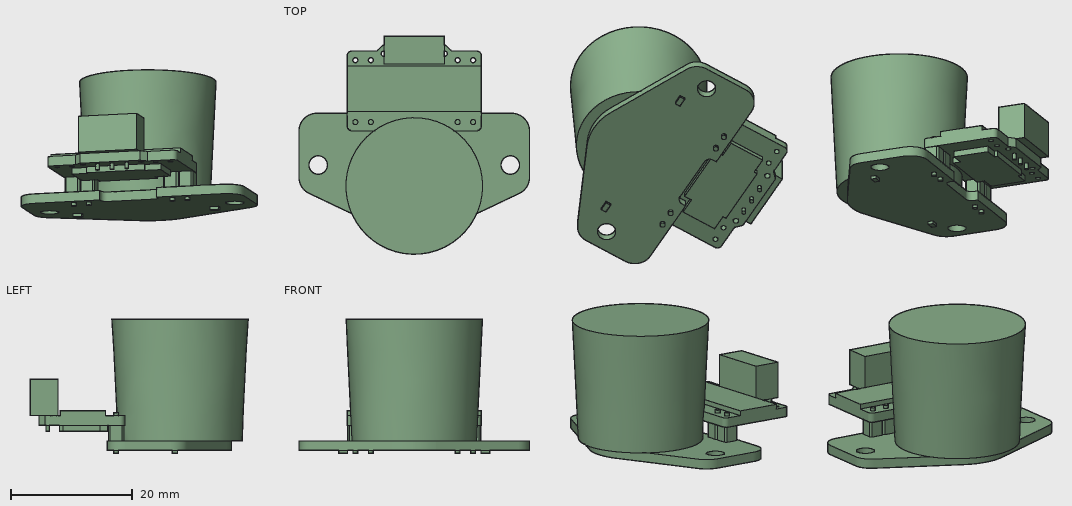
import cadquery as cq


plate_length = 37.97
plate_thick = 1.6
plate_back_y = 12.0
plate_shoulder_y = -0.4
plate_tip_y = -8.5
plate_tip_width = 3.95
plate_corner_radius = 3.0
plate_tip_radius = 8.0
mount_hole_dia = 3.0
mount_hole_x = 15.8
mount_hole_y = 3.45
notch_width = 9.72
notch_floor_y = 10.33
notch_corner_radius = 1.0
foot_length = 1.5
foot_width = 0.9
foot_x = 11.7
foot_y = 0.85

drum_height = 20.0
drum_base_radius = 10.25
drum_top_radius = 11.25

pin_pitch = 2.55
pin_dia = 0.85
pin_stick_out = 0.5
header_chamfer = 0.3
header_height = 2.55
inner_pin_x = 7.15
outer_pin_x = inner_pin_x + pin_pitch
header_y = 10.5
header_pin_points = [
    (side * x, header_y) for side in (-1, 1) for x in (inner_pin_x, outer_pin_x)
]

board_width = 22.1
board_thick = 1.6
board_front_y = 9.07
board_back_y = 22.2
board_corner_radius = 0.8
tab_back_y = 23.2
tab_base_width = 12.3
tab_end_width = 10.25
raised_front_y = 12.23
raised_back_y = 19.7
raised_height = 0.8
open_hole_dia = 0.8
open_hole_y = header_y + 4 * pin_pitch
tab_hole_dia = 0.87
tab_hole_x = 4.97
under_height = 1.0
under_long_width = 9.87
under_long_front_y = 11.85
under_long_back_y = 19.82
under_wide_width = 15.2
under_wide_front_y = 13.18
under_wide_back_y = 19.25

connector_length = 9.95
connector_height = 6.0
connector_front_y = 20.05
connector_back_y = 24.65
connector_pin_dia = 0.65
connector_pin_y = 21.75
connector_pin_below_board = 1.0
connector_pin_pitch = tab_hole_x / 2
connector_pin_points = [(i * connector_pin_pitch, connector_pin_y) for i in (-1, 0, 1)]

board_z = plate_thick + header_height
board_top_z = board_z + board_thick


def block(width, front_y, back_y, bottom_z, height):
    """Box that is symmetric about the YZ plane and lies between two Y positions."""
    box = cq.Workplane("XY").box(width, back_y - front_y, height, centered=(True, False, False))
    return box.translate((0, front_y, bottom_z))


def rods(points, diameter, bottom_z, top_z):
    """Upright cylinders, used both as pins and as the tools that cut their holes."""
    base = cq.Workplane("XY").workplane(offset=bottom_z)
    return base.pushPoints(points).circle(diameter / 2).extrude(top_z - bottom_z)


def make_plate():
    half_length = plate_length / 2
    half_tip = plate_tip_width / 2
    outline = [
        (-half_length, plate_back_y),
        (half_length, plate_back_y),
        (half_length, plate_shoulder_y),
        (half_tip, plate_tip_y),
        (-half_tip, plate_tip_y),
        (-half_length, plate_shoulder_y),
    ]
    plate = cq.Workplane("XY").polyline(outline).close().extrude(plate_thick)
    plate = plate.edges("|Z and (<X or >X)").fillet(plate_corner_radius)
    plate = plate.edges("|Z and <Y").fillet(plate_tip_radius)
    mount_points = [(-mount_hole_x, mount_hole_y), (mount_hole_x, mount_hole_y)]
    plate = plate.cut(rods(mount_points, mount_hole_dia, 0, plate_thick))
    plate = plate.cut(rods(header_pin_points, pin_dia, 0, plate_thick))

    notch = block(notch_width, notch_floor_y, plate_back_y, 0, plate_thick)
    plate = plate.cut(notch.edges("|Z and <Y").fillet(notch_corner_radius))

    feet = (
        cq.Workplane("XY")
        .pushPoints([(-foot_x, foot_y), (foot_x, foot_y)])
        .rect(foot_length, foot_width)
        .extrude(-pin_stick_out)
    )
    return plate.union(feet)


def make_drum(board):
    """Flared drum with a slot that takes the front edge of the board."""
    profile = [
        (0, plate_thick),
        (drum_base_radius, plate_thick),
        (drum_top_radius, plate_thick + drum_height),
        (0, plate_thick + drum_height),
    ]
    drum = cq.Workplane("XZ").polyline(profile).close().revolve(360, (0, 0), (0, 1))
    return drum.cut(board)


def make_header(side):
    """Two-pin header: two joined housings with chamfered corners, each around a pin."""
    points = [(side * inner_pin_x, header_y), (side * outer_pin_x, header_y)]
    header = rods(points, pin_dia, -pin_stick_out, board_top_z + pin_stick_out)
    for x, y in points:
        housing = (
            cq.Workplane("XY")
            .box(pin_pitch, pin_pitch, header_height, centered=(True, True, False))
            .edges("|Z")
            .chamfer(header_chamfer)
        )
        header = header.union(housing.translate((x, y, plate_thick)))
    return header


def make_board():
    board = block(board_width, board_front_y, board_back_y, board_z, board_thick)
    board = board.edges("|Z").fillet(board_corner_radius)

    tab_outline = [
        (-tab_base_width / 2, board_back_y),
        (-tab_end_width / 2, tab_back_y),
        (tab_end_width / 2, tab_back_y),
        (tab_base_width / 2, board_back_y),
    ]
    tab = cq.Workplane("XY").polyline(tab_outline).close().extrude(board_thick)
    board = board.union(tab.translate((0, 0, board_z)))

    board = board.union(block(board_width, raised_front_y, raised_back_y, board_top_z, raised_height))
    for width, front_y, back_y in (
        (under_long_width, under_long_front_y, under_long_back_y),
        (under_wide_width, under_wide_front_y, under_wide_back_y),
    ):
        board = board.union(block(width, front_y, back_y, board_z - under_height, under_height))

    open_points = [(x, open_hole_y) for x, _ in header_pin_points]
    tab_points = [(-tab_hole_x, connector_pin_y), (tab_hole_x, connector_pin_y)]
    for points, diameter in (
        (header_pin_points, pin_dia),
        (connector_pin_points, connector_pin_dia),
        (open_points, open_hole_dia),
        (tab_points, tab_hole_dia),
    ):
        board = board.cut(rods(points, diameter, board_z, board_top_z))
    return board


def make_connector():
    shell = block(connector_length, connector_front_y, connector_back_y, board_top_z, connector_height)
    pin_end_z = board_z - connector_pin_below_board
    return shell.union(rods(connector_pin_points, connector_pin_dia, pin_end_z, board_top_z))


plate = make_plate()
headers = [make_header(side) for side in (-1, 1)]
board = make_board()
drum = make_drum(board)
connector = make_connector()

result = cq.Compound.makeCompound(
    [plate.val(), drum.val(), *[header.val() for header in headers], board.val(), connector.val()]
)